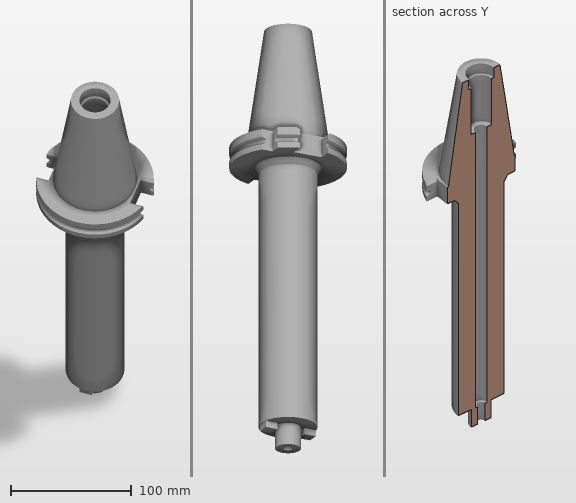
import cadquery as cq

TOTAL_HEIGHT = 369.8
PILOT_HEIGHT = 19.0
TAPER_LENGTH = 101.5
TAPER_NECK_HEIGHT = 1.0
FLANGE_THICKNESS = 18.0
COLLAR_HEIGHT = 5.0

taper_base_z = TOTAL_HEIGHT - TAPER_LENGTH
flange_top_z = taper_base_z - TAPER_NECK_HEIGHT
flange_bottom_z = flange_top_z - FLANGE_THICKNESS
body_top_z = flange_bottom_z - COLLAR_HEIGHT

PILOT_RADIUS = 10.7
BODY_RADIUS = 24.5
COLLAR_RADIUS = 28.0
FLANGE_RADIUS = 48.8
TAPER_BASE_RADIUS = 34.8
TAPER_TOP_RADIUS = 20.0

UPPER_RIM_HEIGHT = 6.5
LOWER_RIM_HEIGHT = 4.8
GROOVE_DEPTH = 3.5
GROOVE_FLANK_RISE = 2.0

SLOT_WIDTH = 26.0
SLOT_FLOOR_X = 36.0
SLOT_CHAMFER_WIDTH = 2.5
SLOT_CHAMFER_HEIGHT = 2.0

NOTCH_X = -29.2
NOTCH_Y = 29.5

KEY_WIDTH = 10.7
KEY_INNER_Y = 12.5
KEY_OUTER_Y = 23.3
KEY_HEIGHT = 5.5

COUNTERBORE = (13.0, 10.5)
THREAD_BORE = (10.7, 59.0)
CLEARANCE_BORE = (6.0, TOTAL_HEIGHT - PILOT_HEIGHT)
THROUGH_BORE = (3.7, TOTAL_HEIGHT)


def turned_body():
    """Pilot, shank, grooved flange and taper as one revolved profile."""
    lower_rim_z = flange_bottom_z + LOWER_RIM_HEIGHT
    upper_rim_z = flange_top_z - UPPER_RIM_HEIGHT
    groove_radius = FLANGE_RADIUS - GROOVE_DEPTH
    profile = [
        (0, 0),
        (PILOT_RADIUS, 0),
        (PILOT_RADIUS, PILOT_HEIGHT),
        (BODY_RADIUS, PILOT_HEIGHT),
        (BODY_RADIUS, body_top_z),
        (COLLAR_RADIUS, flange_bottom_z),
        (FLANGE_RADIUS, flange_bottom_z),
        (FLANGE_RADIUS, lower_rim_z),
        (groove_radius, lower_rim_z + GROOVE_FLANK_RISE),
        (groove_radius, upper_rim_z - GROOVE_FLANK_RISE),
        (FLANGE_RADIUS, upper_rim_z),
        (FLANGE_RADIUS, flange_top_z),
        (TAPER_BASE_RADIUS, flange_top_z),
        (TAPER_BASE_RADIUS, taper_base_z),
        (TAPER_TOP_RADIUS, TOTAL_HEIGHT),
        (0, TOTAL_HEIGHT),
    ]
    return cq.Workplane("XZ").polyline(profile).close().revolve(360, (0, 0), (0, 1))


def drive_slot(side):
    """Cutter for a slot whose side walls flare out at the flange top."""
    half_width = SLOT_WIDTH / 2
    flared_half_width = half_width + SLOT_CHAMFER_WIDTH
    chamfer_z = flange_top_z - SLOT_CHAMFER_HEIGHT
    section = [
        (-half_width, flange_bottom_z),
        (half_width, flange_bottom_z),
        (half_width, chamfer_z),
        (flared_half_width, flange_top_z),
        (-flared_half_width, flange_top_z),
        (-half_width, chamfer_z),
    ]
    return (
        cq.Workplane("YZ", origin=(side * SLOT_FLOOR_X, 0, 0))
        .polyline(section)
        .close()
        .extrude(side * FLANGE_RADIUS)
    )


def orientation_notch():
    """Square-cornered cutter open towards -X and +Y."""
    return (
        cq.Workplane("XY", origin=(0, 0, flange_bottom_z))
        .moveTo(NOTCH_X, NOTCH_Y)
        .rect(-FLANGE_RADIUS, FLANGE_RADIUS, centered=False)
        .extrude(FLANGE_THICKNESS)
    )


def drive_key(side):
    """Rectangular key hanging from the lower end of the body."""
    return (
        cq.Workplane("XY", origin=(0, 0, PILOT_HEIGHT))
        .center(0, side * (KEY_INNER_Y + KEY_OUTER_Y) / 2)
        .rect(KEY_WIDTH, KEY_OUTER_Y - KEY_INNER_Y)
        .extrude(-KEY_HEIGHT)
    )


def bore_step(radius, depth):
    return cq.Workplane("XY", origin=(0, 0, TOTAL_HEIGHT)).circle(radius).extrude(-depth)


result = turned_body().cut(orientation_notch())
for side in (-1, 1):
    result = result.cut(drive_slot(side)).union(drive_key(side))
for radius, depth in (COUNTERBORE, THREAD_BORE, CLEARANCE_BORE, THROUGH_BORE):
    result = result.cut(bore_step(radius, depth))